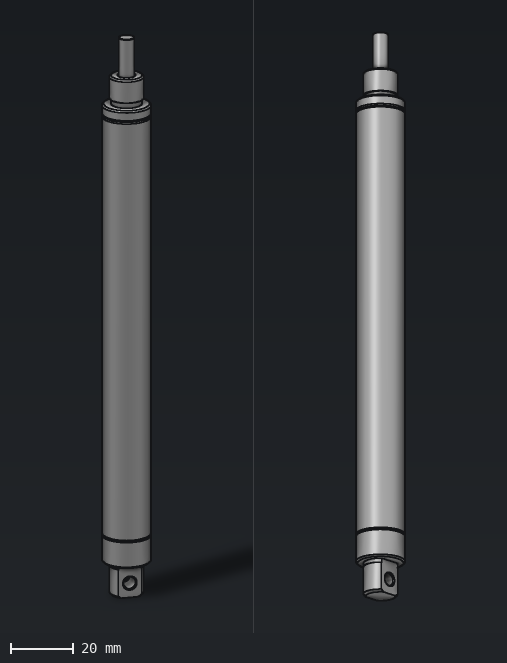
import cadquery as cq

total_length = 187.0
tang_length = 11.0
barrel_top = 164.7
nose_top = 174.2
rod_seat = 160.8

barrel_diameter = 15.7
nose_diameter = 11.0
neck_diameter = 10.0
rod_diameter = 5.0

barrel_chamfer = 0.5
groove_depth = 0.2
front_groove_height = 161.0
front_groove_width = 1.1
rear_groove_height = 20.2
rear_groove_width = 0.7

rod_chamfer = 0.2

neck_length = 1.9
nose_chamfer = 0.5
rod_mouth_chamfer = 0.4

tang_thickness = 7.9
tang_chamfer = 0.7
tang_neck_length = 1.3
tang_neck_diameter = 10.8
pin_hole_diameter = 4.0
pin_hole_chamfer = 0.4
pin_hole_height = 4.9


def cylinder(diameter, bottom, top):
    """Solid cylinder on the Z axis between two heights."""
    return cq.Workplane("XY").workplane(offset=bottom).circle(diameter / 2).extrude(top - bottom)


def make_groove(height, width):
    """Ring with a V section, used to cut a groove around the barrel."""
    radius = barrel_diameter / 2
    section = [
        (radius, height - width / 2),
        (radius - groove_depth, height),
        (radius, height + width / 2),
    ]
    return cq.Workplane("XZ").polyline(section).close().revolve(360, (0, 0), (0, 1))


def make_barrel():
    """Long cylinder with chamfered ends and a shallow groove near each end."""
    barrel = cylinder(barrel_diameter, tang_length, barrel_top)
    barrel = barrel.faces("<Z or >Z").chamfer(barrel_chamfer)
    grooves = (
        (front_groove_height, front_groove_width),
        (rear_groove_height, rear_groove_width),
    )
    for height, width in grooves:
        barrel = barrel.cut(make_groove(height, width))
    return barrel


def make_nose():
    """Mounting nose standing on a narrower neck."""
    collar_bottom = barrel_top + neck_length
    neck = cylinder(neck_diameter, barrel_top, collar_bottom)
    collar = cylinder(nose_diameter, collar_bottom, nose_top)
    collar = collar.faces(">Z").chamfer(nose_chamfer)
    return neck.union(collar)


def make_tang():
    """Round stub with two flats across X, a neck and a cross hole for a pin."""
    neck_bottom = tang_length - tang_neck_length
    stub = cylinder(nose_diameter, 0, neck_bottom).faces("<Z").chamfer(tang_chamfer)
    stub = stub.union(cylinder(tang_neck_diameter, neck_bottom, tang_length))
    flats = cq.Workplane("XY").rect(tang_thickness, nose_diameter).extrude(tang_length)
    tang = stub.intersect(flats)
    half_thickness = tang_thickness / 2
    half_profile = [
        (0, 0),
        (0, pin_hole_diameter / 2),
        (half_thickness - pin_hole_chamfer, pin_hole_diameter / 2),
        (half_thickness, pin_hole_diameter / 2 + pin_hole_chamfer),
        (half_thickness, 0),
    ]
    half_hole = cq.Workplane("XZ").polyline(half_profile).close().revolve(360, (0, 0), (1, 0))
    for hole in (half_hole, half_hole.mirror("YZ")):
        tang = tang.cut(hole.translate((0, 0, pin_hole_height)))
    return tang


def make_housing():
    """Barrel, nose and tang in one piece, with a blind, chamfered bore for the rod."""
    housing = make_barrel().union(make_nose()).union(make_tang())
    housing = housing.cut(cylinder(rod_diameter, rod_seat, nose_top))
    rod_mouth = housing.faces(">Z").edges("%CIRCLE").edges(cq.selectors.RadiusNthSelector(0))
    return rod_mouth.chamfer(rod_mouth_chamfer)


def make_rod():
    """Round rod with a chamfered end, seated at the bottom of the bore."""
    return cylinder(rod_diameter, rod_seat, total_length).faces(">Z").chamfer(rod_chamfer)


housing = make_housing()
rod = make_rod()
result = cq.Compound.makeCompound([housing.val(), rod.val()])